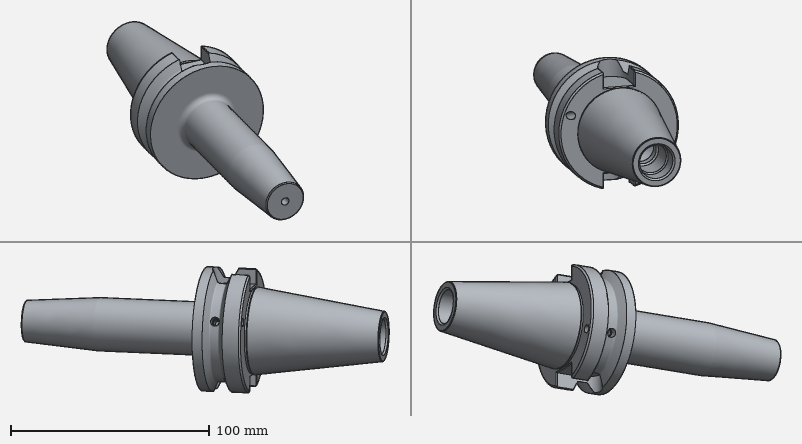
import cadquery as cq
import math

total_length = 185.4
taper_length = 66.0
flange_start = 67.5
flange_end = 92.3
grip_groove_center = 82.0
nose_start = 147.2

taper_large_radius = 22.2
taper_small_radius = 12.8
taper_chamfer = 0.4
relief_depth = 0.5
flange_radius = 31.5
flange_chamfer = 1.0
shank_radius = 13.5
shank_fillet = 3.0
nose_radius = 10.5
nose_chamfer = 0.5

grip_floor_radius = 26.5
grip_floor_width = 4.8
grip_wall_angle = 29
grip_corner_radius = 0.7
grip_half_floor = grip_floor_width / 2
grip_half_mouth = grip_half_floor + (flange_radius - grip_floor_radius) * math.tan(math.radians(grip_wall_angle))

slot_width = 16.1
slot_floor_height = 22.5
slot_end = 88.5
slot_chamfer = 0.5

mouth_chamfer = 1.0
pilot_radius = 8.7
pilot_depth = 9.3
thread_radius = 8.0
thread_depth = 24.1
drill_radius = 7.0
drill_depth = 29.7
drill_point_angle = 118
passage_radius = 2.6
tool_bore_radius = 2.0

coolant_turn = 20
coolant_radius = 2.0
coolant_start_radius = 27.0
coolant_tilt = 35
coolant_inner_radius = 1.7
coolant_counterbore_radius = 2.2
coolant_counterbore_floor = 21.9


def revolve_about_x(profile):
    return profile.close().revolve(360, (0, 0, 0), (1, 0, 0))


def make_body():
    """Taper, flange, shank and nose as one revolved profile."""
    fillet_middle = shank_fillet * (1 - math.sqrt(0.5))
    relief_radius = taper_large_radius - relief_depth
    profile = (
        cq.Workplane("XZ")
        .moveTo(0, 0)
        .lineTo(0, taper_small_radius - taper_chamfer)
        .lineTo(taper_chamfer, taper_small_radius)
        .lineTo(taper_length, taper_large_radius)
        .lineTo(taper_length + relief_depth, relief_radius)
        .lineTo(flange_start, relief_radius)
        .lineTo(flange_start, flange_radius - flange_chamfer)
        .lineTo(flange_start + flange_chamfer, flange_radius)
        .lineTo(flange_end, flange_radius)
        .lineTo(flange_end, shank_radius + shank_fillet)
        .threePointArc(
            (flange_end + fillet_middle, shank_radius + fillet_middle),
            (flange_end + shank_fillet, shank_radius),
        )
        .lineTo(nose_start, shank_radius)
        .lineTo(total_length - nose_chamfer, nose_radius)
        .lineTo(total_length, nose_radius - nose_chamfer)
        .lineTo(total_length, 0)
    )
    return revolve_about_x(profile)


def make_grip_groove():
    """V-groove ring with rounded corners along its cylindrical floor."""
    profile = (
        cq.Workplane("XZ")
        .moveTo(grip_groove_center - grip_half_mouth, flange_radius)
        .lineTo(grip_groove_center - grip_half_floor, grip_floor_radius)
        .lineTo(grip_groove_center + grip_half_floor, grip_floor_radius)
        .lineTo(grip_groove_center + grip_half_mouth, flange_radius)
    )
    ring = revolve_about_x(profile)
    floor_corners = cq.selectors.RadiusNthSelector(0)
    return ring.edges("%CIRCLE").edges(floor_corners).fillet(grip_corner_radius)


def make_bore():
    """Bore with pilot, thread, drill point, coolant passage and tool bore."""
    point_length = (drill_radius - passage_radius) / math.tan(math.radians(drill_point_angle / 2))
    profile = (
        cq.Workplane("XZ")
        .moveTo(0, 0)
        .lineTo(0, pilot_radius + mouth_chamfer)
        .lineTo(mouth_chamfer, pilot_radius)
        .lineTo(pilot_depth, pilot_radius)
        .lineTo(pilot_depth + pilot_radius - thread_radius, thread_radius)
        .lineTo(thread_depth, thread_radius)
        .lineTo(thread_depth + thread_radius - drill_radius, drill_radius)
        .lineTo(drill_depth, drill_radius)
        .lineTo(drill_depth + point_length, passage_radius)
        .lineTo(nose_start, passage_radius)
        .lineTo(nose_start, tool_bore_radius)
        .lineTo(total_length, tool_bore_radius)
        .lineTo(total_length, 0)
    )
    return revolve_about_x(profile)


def make_drive_slot():
    """Round-ended slot above the +Z floor, with chamfers at its entrance and along its rims."""
    half_width = slot_width / 2
    slot = (
        cq.Workplane("XY", origin=(0, 0, slot_floor_height))
        .moveTo(flange_start, -half_width)
        .lineTo(slot_end - half_width, -half_width)
        .threePointArc((slot_end, 0), (slot_end - half_width, half_width))
        .lineTo(flange_start, half_width)
        .close()
        .extrude(flange_radius - slot_floor_height)
    )

    entrance_bottom = slot_floor_height - slot_chamfer
    entrance_top = flange_radius + 2 * slot_chamfer
    entrance = (
        cq.Workplane("YZ", origin=(flange_start, 0, 0))
        .center(0, (entrance_bottom + entrance_top) / 2)
        .rect(slot_width + 2 * slot_chamfer, entrance_top - entrance_bottom)
        .extrude(slot_chamfer, taper=45)
    )

    rim_bottom = math.sqrt(flange_radius**2 - half_width**2) - slot_chamfer
    rim_rise = flange_radius - rim_bottom
    rim = (
        cq.Workplane("YZ", origin=(flange_start, 0, 0))
        .moveTo(-half_width, rim_bottom)
        .lineTo(half_width, rim_bottom)
        .lineTo(half_width + rim_rise, flange_radius)
        .lineTo(-half_width - rim_rise, flange_radius)
        .close()
        .extrude(grip_groove_center - grip_half_mouth - flange_start)
    )
    return slot.union(entrance).union(rim)


def make_cylinder(radius, start, end):
    axis = end - start
    return cq.Workplane(cq.Solid.makeCylinder(radius, axis.Length, start, axis))


def make_coolant_channel():
    """Inclined hole and stepped radial hole on the +Y side, turned about the X axis."""
    tilt_slope = math.tan(math.radians(coolant_tilt))
    junction_radius = coolant_start_radius - (grip_groove_center - flange_start) * tilt_slope
    junction = cq.Vector(grip_groove_center, junction_radius, 0)

    lead = coolant_radius
    inclined_start = cq.Vector(flange_start - lead, coolant_start_radius + lead * tilt_slope, 0)
    counterbore_floor = cq.Vector(grip_groove_center, coolant_counterbore_floor, 0)
    groove_mouth = cq.Vector(grip_groove_center, flange_radius, 0)

    inclined = make_cylinder(coolant_radius, inclined_start, junction)
    inner = make_cylinder(coolant_inner_radius, junction, counterbore_floor)
    counterbore = make_cylinder(coolant_counterbore_radius, counterbore_floor, groove_mouth)
    channel = inclined.union(inner).union(counterbore)
    return channel.rotate((0, 0, 0), (1, 0, 0), coolant_turn)


result = make_body().cut(make_grip_groove()).cut(make_bore())
for turn in (0, 180):
    result = result.cut(make_drive_slot().rotate((0, 0, 0), (1, 0, 0), turn))
    result = result.cut(make_coolant_channel().rotate((0, 0, 0), (1, 0, 0), turn))